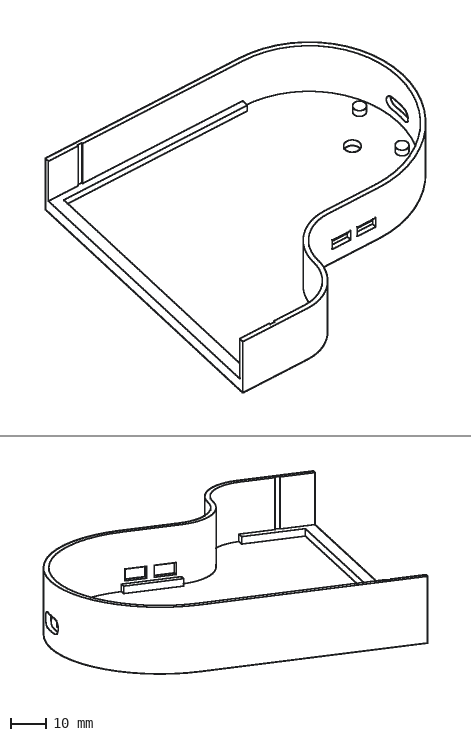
import cadquery as cq
import math

width = 93.5
length = 101.5
height = 20.1
wall = 1.5
floor = 2.2
ledge_top = 4.5

end_radius = 33.0
end_y = length - end_radius
neck_x = 2 * end_radius
shoulder_radius = 14.0
bend_radius = width - neck_x - shoulder_radius
shoulder_y = 22.9
bend_center_x = neck_x + bend_radius
bend_center_y = shoulder_y + shoulder_radius + bend_radius

front_lip = 3.8
side_ledge = 2.2
short_ledge = 1.8

peg_diameter = 4.0
peg_height = 2.2
peg_offset = 10.0
peg_y = 93.8
hole_diameter = 5.0
hole_y = 83.7

slot_length = 10.3
slot_height = 4.7
slot_z = 7.5

window_length = 6.5
window_height = 3.6
window_bottom = 5.3
window_centers_y = (64.1, 55.3)

groove_width = 1.5
groove_depth = 0.4
groove_y = 11.3


def outline(inset, front_y, depth):
    """Solid of the plan shape with side and rear walls moved in by inset."""
    end_r = end_radius - inset
    bend_r = bend_radius + inset
    shoulder_r = shoulder_radius - inset
    diagonal = math.sqrt(0.5)
    return (
        cq.Workplane("XY")
        .moveTo(inset, front_y)
        .lineTo(width - inset, front_y)
        .lineTo(width - inset, shoulder_y)
        .threePointArc(
            (bend_center_x + shoulder_r * diagonal, shoulder_y + shoulder_r * diagonal),
            (bend_center_x, shoulder_y + shoulder_r),
        )
        .threePointArc(
            (bend_center_x - bend_r * diagonal, bend_center_y - bend_r * diagonal),
            (neck_x - inset, bend_center_y),
        )
        .lineTo(neck_x - inset, end_y)
        .threePointArc((end_radius, end_y + end_r), (inset, end_y))
        .close()
        .extrude(depth)
    )


def box(x_start, x_end, y_start, y_end, z_start, z_end):
    """Box between two opposite corners."""
    size = (x_end - x_start, y_end - y_start, z_end - z_start)
    return cq.Workplane("XY").box(*size, centered=False).translate((x_start, y_start, z_start))


cavity = outline(wall, 0, height).translate((0, 0, floor))
result = outline(0, 0, height).cut(cavity)

result = result.union(box(0, width, 0, front_lip, 0, ledge_top))
result = result.union(box(0, wall + side_ledge, 0, end_y, 0, ledge_top))
result = result.union(box(width - wall - side_ledge, width, 0, shoulder_y, 0, ledge_top))
short_ledge_start = neck_x - wall - short_ledge
result = result.union(box(short_ledge_start, neck_x, bend_center_y, end_y, 0, ledge_top))

pegs = (
    cq.Workplane("XY")
    .pushPoints([(end_radius - peg_offset, peg_y), (end_radius + peg_offset, peg_y)])
    .circle(peg_diameter / 2)
    .extrude(floor + peg_height)
)
result = result.union(pegs)

hole = cq.Workplane("XY").center(end_radius, hole_y).circle(hole_diameter / 2).extrude(floor)
result = result.cut(hole)

slot = (
    cq.Workplane("XZ", origin=(end_radius, end_y, slot_z))
    .slot2D(slot_length, slot_height)
    .extrude(-end_radius)
)
result = result.cut(slot)

for center_y in window_centers_y:
    window = box(
        neck_x - wall, neck_x,
        center_y - window_length / 2, center_y + window_length / 2,
        window_bottom, window_bottom + window_height,
    )
    result = result.cut(window)

for groove_x in (wall - groove_depth, width - wall):
    groove = box(
        groove_x, groove_x + groove_depth,
        groove_y - groove_width / 2, groove_y + groove_width / 2,
        ledge_top, height,
    )
    result = result.cut(groove)